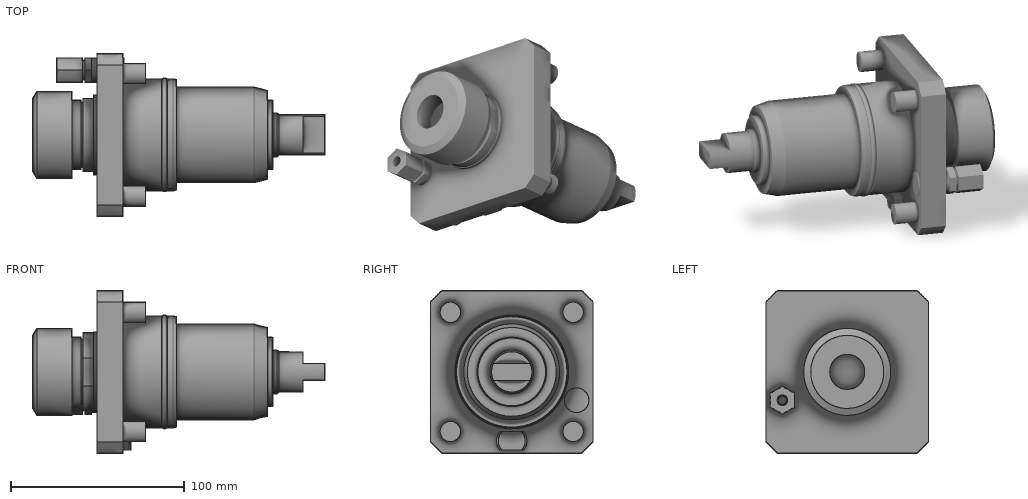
import cadquery as cq
import math

overall_length = 168.7

flange_side = 94.0
flange_start = 37.1
flange_end = 52.1
flange_corner_chamfer = 6.5

nut_radius = 25.1
nut_length = 22.6
nut_chamfer_length = 2.4
nut_chamfer_depth = 4.0
nose_radius = 20.0
nose_end = 27.8
neck_radius = 18.9
wrench_ring_start = 29.0
wrench_ring_end = 35.2
wrench_ring_radius = 22.6
wrench_flat_distance = 21.0
collar_radius = 23.1
bore_radius = 10.1
bore_depth = 12.5

seat_radius = 32.4
seat_end = 83.0
seat_chamfer_length = 1.9
seat_chamfer_depth = 0.5
shank_radius = 27.7
taper_start = 127.7
taper_end = 135.5
taper_end_radius = 25.6
cap_radius = 20.0
cap_end = 138.8
cap_chamfer = 0.5
shaft_collar_radius = 12.6
shaft_collar_end = 142.2
shaft_collar_chamfer = 1.0
shaft_radius = 11.6

tang_start = 156.2
tang_thickness = 9.8

groove_start = 74.4
groove_end = 78.0
groove_depth = 1.5
ring_section_radius = 1.5
ring_proud = 0.5

bolt_radius = 5.9
bolt_end = 65.3
bolt_y = 35.5
bolt_z = 34.4

fitting_y = 37.5
fitting_z = -16.4
fitting_flats = 14.2
fitting_start = 13.8
fitting_nut_end = 28.7
fitting_neck_radius = 5.7
fitting_hex_start = 30.2
fitting_hex_end = 34.0
fitting_body_end = 52.6
fitting_bore_radius = 3.0
fitting_bore_depth = 6.7
fitting_inner_bore_radius = 2.4
fitting_inner_bore_depth = 13.5

pin_radius = 8.8
pin_z = -39.8
pin_height = 10.8
pin_end = 56.7
pin_chamfer = 1.0


def cylinder(start, end, radius, y=0.0, z=0.0):
    """Cylinder parallel to X between two X positions."""
    return cq.Workplane("YZ", origin=(start, y, z)).circle(radius).extrude(end - start)


def hexagon(start, end):
    """Hexagonal length of the coolant fitting, with flats facing +Y and -Y."""
    across_corners = fitting_flats / math.cos(math.pi / 6)
    return (
        cq.Workplane("YZ", origin=(start, fitting_y, fitting_z))
        .transformed(rotate=(0, 0, 90))
        .polygon(6, across_corners)
        .extrude(end - start)
    )


def box_between(start, end, width, height):
    """Box centred on the X axis between two X positions."""
    return cq.Workplane("YZ", origin=(start, 0, 0)).rect(width, height).extrude(end - start)


def make_flange():
    flange = box_between(flange_start, flange_end, flange_side, flange_side)
    return flange.edges("|X").chamfer(flange_corner_chamfer)


def make_turned_body():
    """Revolve the half outline of the nut, nose, seat, shank and shaft."""
    outline = [
        (0, 0),
        (0, nut_radius - nut_chamfer_depth),
        (nut_chamfer_length, nut_radius),
        (nut_length, nut_radius),
        (nut_length, nose_radius),
        (nose_end, nose_radius),
        (nose_end, neck_radius),
        (wrench_ring_start, neck_radius),
        (wrench_ring_start, wrench_ring_radius),
        (wrench_ring_end, wrench_ring_radius),
        (wrench_ring_end, collar_radius),
        (flange_start, collar_radius),
        (flange_start, seat_radius),
        (groove_start, seat_radius),
        (groove_start, seat_radius - groove_depth),
        (groove_end, seat_radius - groove_depth),
        (groove_end, seat_radius),
        (seat_end - seat_chamfer_length, seat_radius),
        (seat_end, seat_radius - seat_chamfer_depth),
        (seat_end, shank_radius),
        (taper_start, shank_radius),
        (taper_end, taper_end_radius),
        (taper_end, cap_radius),
        (cap_end - cap_chamfer, cap_radius),
        (cap_end, cap_radius - cap_chamfer),
        (cap_end, shaft_collar_radius),
        (shaft_collar_end - shaft_collar_chamfer, shaft_collar_radius),
        (shaft_collar_end, shaft_radius),
        (overall_length, shaft_radius),
        (overall_length, 0),
    ]
    return cq.Workplane("XY").polyline(outline).close().revolve(360, (0, 0, 0), (1, 0, 0))


def make_o_ring():
    ring_x = (groove_start + groove_end) / 2
    ring_center_radius = seat_radius + ring_proud - ring_section_radius
    return (
        cq.Workplane("XY")
        .center(ring_x, ring_center_radius)
        .circle(ring_section_radius)
        .revolve(360, (-ring_x, -ring_center_radius, 0), (1.7 - ring_x, -ring_center_radius, 0))
    )


def cut_wrench_flats(body):
    """Two flats facing +Y and -Y on the ring in front of the collar."""
    ring = cylinder(wrench_ring_start, wrench_ring_end, wrench_ring_radius)
    kept = box_between(wrench_ring_start, wrench_ring_end, 2 * wrench_flat_distance, 2 * wrench_ring_radius)
    return body.cut(ring.cut(kept))


def cut_tang(body):
    """Flats above and below the end of the shaft leave a drive tang."""
    tip = cylinder(tang_start, overall_length, shaft_radius)
    tang = box_between(tang_start, overall_length, 2 * shaft_radius, tang_thickness)
    return body.cut(tip.cut(tang))


def make_fitting():
    """Hexagonal coolant fitting with a stepped bore, passing through the flange."""
    fitting = hexagon(fitting_start, fitting_nut_end)
    fitting = fitting.union(
        cylinder(fitting_nut_end, fitting_hex_start, fitting_neck_radius, fitting_y, fitting_z)
    )
    fitting = fitting.union(hexagon(fitting_hex_start, fitting_hex_end))
    return fitting.union(
        cylinder(fitting_hex_end, fitting_body_end, fitting_flats / 2, fitting_y, fitting_z)
    )


def cut_fitting_bore(body):
    steps = (
        (fitting_bore_radius, fitting_bore_depth),
        (fitting_inner_bore_radius, fitting_inner_bore_depth),
    )
    for radius, depth in steps:
        body = body.cut(cylinder(fitting_start, fitting_start + depth, radius, fitting_y, fitting_z))
    return body


def make_locating_pin():
    """Chamfered round pin on the back of the flange, flattened above and below."""
    pin = cylinder(flange_end, pin_end, pin_radius, z=pin_z).faces(">X").chamfer(pin_chamfer)
    kept = box_between(flange_end, pin_end, 2 * pin_radius, pin_height).translate((0, 0, pin_z))
    return pin.intersect(kept)


body = make_turned_body()
body = cut_wrench_flats(body)
body = cut_tang(body)
body = body.cut(cylinder(0, bore_depth, bore_radius))
body = body.union(make_o_ring())
body = body.union(make_flange())
for side_y in (-1, 1):
    for side_z in (-1, 1):
        bolt = cylinder(flange_end, bolt_end, bolt_radius, side_y * bolt_y, side_z * bolt_z)
        body = body.union(bolt)
body = body.union(make_fitting())
body = cut_fitting_bore(body)
result = body.union(make_locating_pin())